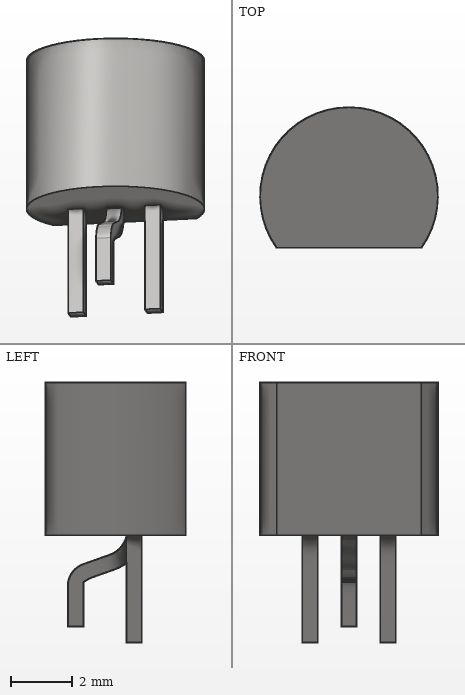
import cadquery as cq
import math

housing_radius = 2.91
flat_distance = 1.69
housing_height = 5.0
total_height = 8.5

leg_pitch = 1.275
leg_size = 0.51
leg_length = total_height - housing_height

bent_leg_width = 0.49
bent_leg_depth = 2.975
bent_leg_offset = 1.9
slant_angle = 19.5
slant_start_y = 0.8
slant_start_z = -0.63
slant_upper_length = 0.91
slant_lower_length = 0.78
front_face_end_z = -0.1
upper_face_end_z = -0.04
lower_bend_end_z = -1.53


def make_housing():
    flat_half_width = math.sqrt(housing_radius**2 - flat_distance**2)
    return (
        cq.Workplane("XY")
        .moveTo(-flat_half_width, -flat_distance)
        .threePointArc((0, housing_radius), (flat_half_width, -flat_distance))
        .close()
        .extrude(housing_height)
    )


def make_straight_leg(x):
    return (
        cq.Workplane("XY")
        .center(x, 0)
        .rect(leg_size, leg_size)
        .extrude(-leg_length)
    )


def bend_middle(slant_end, face_end):
    """Middle point of the arc that meets the sloping stretch tangentially at slant_end."""
    chord_y = face_end[0] - slant_end[0]
    chord_z = face_end[1] - slant_end[1]
    slope = -math.tan(math.radians(slant_angle))
    half_turn = math.atan(chord_z / chord_y) - math.atan(slope)
    bulge = math.tan(half_turn / 2) / 2
    return (
        slant_end[0] + chord_y / 2 + bulge * chord_z,
        slant_end[1] + chord_z / 2 - bulge * chord_y,
    )


def make_bent_leg():
    half_size = leg_size / 2
    back_y = bent_leg_offset + half_size
    front_y = bent_leg_offset - half_size
    fall_y = math.cos(math.radians(slant_angle))
    fall_z = -math.sin(math.radians(slant_angle))

    upper_start = (slant_start_y, slant_start_z)
    upper_end = (
        slant_start_y + slant_upper_length * fall_y,
        slant_start_z + slant_upper_length * fall_z,
    )
    lower_start = (
        slant_start_y + leg_size * fall_z,
        slant_start_z - leg_size * fall_y,
    )
    lower_end = (
        lower_start[0] + slant_lower_length * fall_y,
        lower_start[1] + slant_lower_length * fall_z,
    )

    top_back = (half_size, upper_face_end_z)
    top_front = (-half_size, front_face_end_z)
    bottom_back = (back_y, lower_bend_end_z)
    bottom_front = (front_y, lower_bend_end_z)

    return (
        cq.Workplane("YZ")
        .moveTo(-half_size, 0)
        .lineTo(half_size, 0)
        .lineTo(*top_back)
        .threePointArc(bend_middle(upper_start, top_back), upper_start)
        .lineTo(*upper_end)
        .threePointArc(bend_middle(upper_end, bottom_back), bottom_back)
        .lineTo(back_y, -bent_leg_depth)
        .lineTo(front_y, -bent_leg_depth)
        .lineTo(*bottom_front)
        .threePointArc(bend_middle(lower_end, bottom_front), lower_end)
        .lineTo(*lower_start)
        .threePointArc(bend_middle(lower_start, top_front), top_front)
        .close()
        .extrude(bent_leg_width / 2, both=True)
    )


housing = make_housing()
straight_legs = [make_straight_leg(side * leg_pitch) for side in (-1, 1)]
bent_leg = make_bent_leg()

result = cq.Compound.makeCompound(
    [housing.val(), *[leg.val() for leg in straight_legs], bent_leg.val()]
)